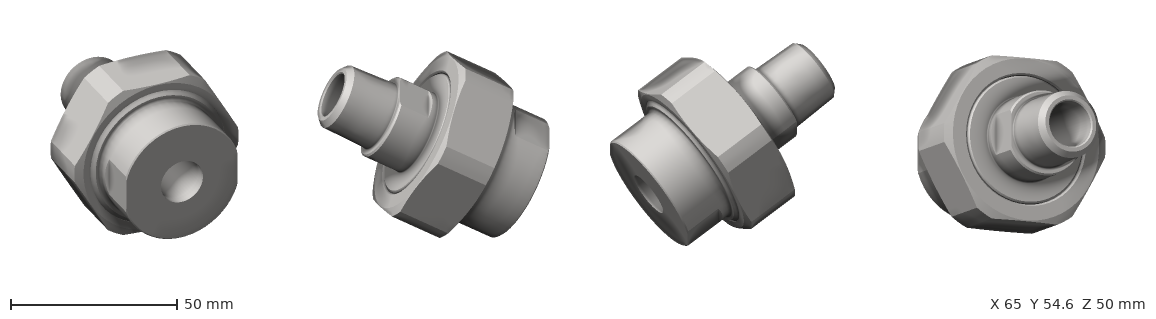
import cadquery as cq
import math

length = 65.0
half_length = length / 2
bore_diameter = 14.0

nut_start = -3.0
nut_length = 18.6
nut_end = nut_start + nut_length
across_flats = 50.0
corner_diameter = 54.65
nut_face_diameter = 49.45
nut_chamfer_length = 0.9
lip_bore_diameter = 39.5
lip_chamfer = 0.5
lip_length = 5.2
nut_bore_diameter = 44.85

male_start = -half_length
male_tip_diameter = 17.15
male_tip_chamfer_length = 1.7
thread_start_diameter = 20.5
thread_end_diameter = 21.45
thread_end_fillet = 0.4
collar_start = -15.6
collar_diameter = 26.0
collar_chamfer = 0.5
collar_fillet = 0.4
flange_diameter = 39.0
flange_chamfer = 0.5
head_diameter = nut_bore_diameter
head_length = 3.9
bore_chamfer = 0.4
male_flat_width = 22.95
male_flat_end = -5.5
male_flat_runout = 0.4

female_start = nut_start + lip_length + head_length
shoulder_end = 16.6
shoulder_chamfer = 1.3
female_diameter = 39.0
female_fillet = 0.7
female_end_chamfer = 0.4
female_flat_width = 37.05
female_flat_start = 20.6


def revolve_about_x(profile):
    """Turn a closed profile of (x, radius) points about the X axis."""
    return profile.close().revolve(360, (0, 0, 0), (1, 0, 0))


def side_flats(full_depth_x, runout_x, end_x, flat_width, body_diameter):
    """Make the two cutters for wrench flats facing -Y and +Y, each with a sloped run-out."""
    inner = flat_width / 2
    outer = body_diameter / 2
    reach = flat_width
    slope_x = full_depth_x + (runout_x - full_depth_x) * (reach - inner) / (outer - inner)
    cutter = (
        cq.Workplane("XY")
        .polyline([(end_x, inner), (full_depth_x, inner), (slope_x, reach), (end_x, reach)])
        .close()
        .extrude(body_diameter / 2, both=True)
    )
    return cutter, cutter.mirror("XZ")


def make_nut():
    """Hexagon nut with chamfered corners and a retaining lip at its -X end."""
    hexagon = (
        cq.Workplane("YZ", origin=(nut_start, 0, 0))
        .polygon(6, across_flats / math.cos(math.pi / 6))
        .extrude(nut_length)
    )
    face_radius = nut_face_diameter / 2
    corner_radius = corner_diameter / 2
    envelope = revolve_about_x(
        cq.Workplane("XY").polyline([
            (nut_start, 0),
            (nut_start, face_radius),
            (nut_start + nut_chamfer_length, corner_radius),
            (nut_end - nut_chamfer_length, corner_radius),
            (nut_end, face_radius),
            (nut_end, 0),
        ])
    )
    lip_radius = lip_bore_diameter / 2
    lip_end = nut_start + lip_length
    cavity = revolve_about_x(
        cq.Workplane("XY").polyline([
            (nut_start, 0),
            (nut_start, lip_radius + lip_chamfer),
            (nut_start + lip_chamfer, lip_radius),
            (lip_end, lip_radius),
            (lip_end, nut_bore_diameter / 2),
            (nut_end, nut_bore_diameter / 2),
            (nut_end, 0),
        ])
    )
    return hexagon.intersect(envelope).cut(cavity)


def make_male_tailpiece():
    """Tapered male end, collar with wrench flats, and the flange held by the nut lip."""
    bore_radius = bore_diameter / 2
    thread_end_radius = thread_end_diameter / 2
    collar_radius = collar_diameter / 2
    flange_radius = flange_diameter / 2
    lip_end = nut_start + lip_length
    thread_fillet_mid = thread_end_fillet * (1 - math.sqrt(0.5))
    fillet_mid = collar_fillet * (1 - math.sqrt(0.5))
    body = revolve_about_x(
        cq.Workplane("XY")
        .moveTo(male_start + bore_chamfer, bore_radius)
        .lineTo(male_start, bore_radius + bore_chamfer)
        .lineTo(male_start, male_tip_diameter / 2)
        .lineTo(male_start + male_tip_chamfer_length, thread_start_diameter / 2)
        .lineTo(collar_start - thread_end_fillet, thread_end_radius)
        .threePointArc(
            (collar_start - thread_fillet_mid, thread_end_radius + thread_fillet_mid),
            (collar_start, thread_end_radius + thread_end_fillet),
        )
        .lineTo(collar_start, collar_radius - collar_chamfer)
        .lineTo(collar_start + collar_chamfer, collar_radius)
        .lineTo(nut_start - collar_fillet, collar_radius)
        .threePointArc(
            (nut_start - fillet_mid, collar_radius + fillet_mid),
            (nut_start, collar_radius + collar_fillet),
        )
        .lineTo(nut_start, flange_radius - flange_chamfer)
        .lineTo(nut_start + flange_chamfer, flange_radius)
        .lineTo(lip_end, flange_radius)
        .lineTo(lip_end, head_diameter / 2)
        .lineTo(female_start, head_diameter / 2)
        .lineTo(female_start, bore_radius)
    )
    for cutter in side_flats(
        male_flat_end, male_flat_end + male_flat_runout, collar_start, male_flat_width, collar_diameter
    ):
        body = body.cut(cutter)
    return body


def make_female_end():
    """Round end with a shoulder inside the nut and wrench flats at its +X end."""
    bore_radius = bore_diameter / 2
    shoulder_radius = head_diameter / 2
    radius = female_diameter / 2
    fillet_mid = female_fillet * (1 - math.sqrt(0.5))
    body = revolve_about_x(
        cq.Workplane("XY")
        .moveTo(female_start, bore_radius)
        .lineTo(female_start, shoulder_radius)
        .lineTo(shoulder_end - shoulder_chamfer, shoulder_radius)
        .lineTo(shoulder_end, shoulder_radius - shoulder_chamfer)
        .lineTo(shoulder_end, radius + female_fillet)
        .threePointArc(
            (shoulder_end + fillet_mid, radius + fillet_mid),
            (shoulder_end + female_fillet, radius),
        )
        .lineTo(half_length - female_end_chamfer, radius)
        .lineTo(half_length, radius - female_end_chamfer)
        .lineTo(half_length, bore_radius)
    )
    flat_depth = (female_diameter - female_flat_width) / 2
    for cutter in side_flats(
        female_flat_start, female_flat_start - flat_depth, half_length, female_flat_width, female_diameter
    ):
        body = body.cut(cutter)
    return body


nut = make_nut()
male_tailpiece = make_male_tailpiece()
female_end = make_female_end()

result = cq.Compound.makeCompound([nut.val(), male_tailpiece.val(), female_end.val()])